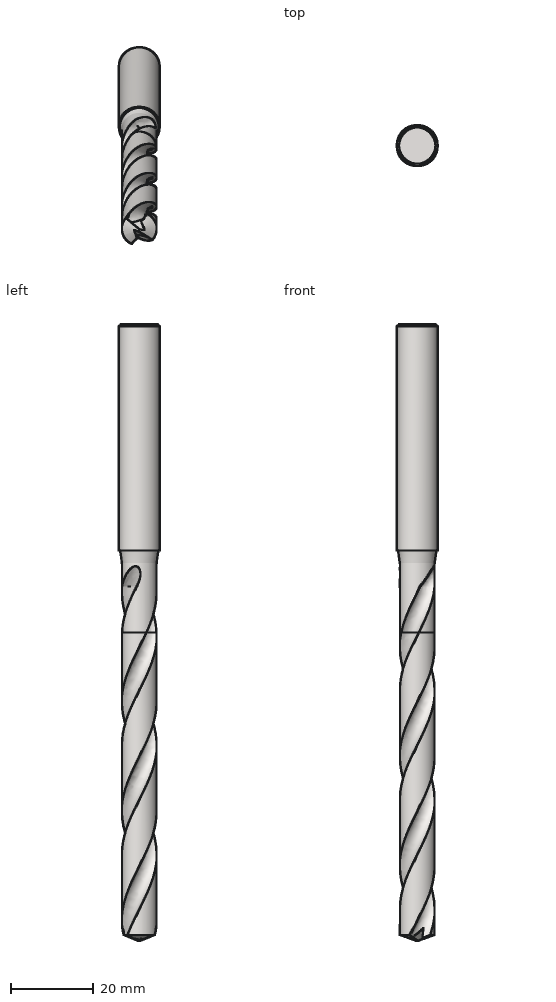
import cadquery as cq
import math

TOTAL_LENGTH = 150.0
SHANK_LENGTH = 55.0
NECK_CONE_LENGTH = 3.2
JOINT_HEIGHT = 75.0
FLUTE_END_HEIGHT = 86.2

SHANK_DIAMETER = 10.0
DRILL_DIAMETER = 8.5
NECK_CONE_TOP_DIAMETER = 9.4
SHANK_CHAMFER = 0.6

BLANK_ALLOWANCE = 1.3

POINT_ANGLE = 140.0

FLUTE_COUNT = 2
FLUTE_PITCH = 53.2
FLUTE_RADIUS = 2.7
FLUTE_AXIS_RADIUS = 4.55
FLUTE_START_ANGLE = -88.0

RUNOUT_LENGTH = 12.0
RUNOUT_CLIMB_ANGLE = 15.0
RUNOUT_LEAN_ANGLE = 37.0

GASH_ROOT_BOTTOM = (1.2, 0.6, 0.4)
GASH_ROOT_TOP = (1.6, -1.8, 3.7)
GASH_OPENING_ANGLE = 46.0

shank_radius = SHANK_DIAMETER / 2
drill_radius = DRILL_DIAMETER / 2
neck_cone_top_radius = NECK_CONE_TOP_DIAMETER / 2
shank_bottom = TOTAL_LENGTH - SHANK_LENGTH
neck_cone_bottom = shank_bottom - NECK_CONE_LENGTH
point_height = drill_radius / math.tan(math.radians(POINT_ANGLE / 2))
blank_radius = drill_radius + BLANK_ALLOWANCE
flute_spacing = 360 / FLUTE_COUNT

flute_half_angle = math.degrees(
    math.acos(
        (blank_radius**2 + FLUTE_AXIS_RADIUS**2 - FLUTE_RADIUS**2) / (2 * blank_radius * FLUTE_AXIS_RADIUS)
    )
)


def polar(radius, angle):
    return (radius * math.cos(math.radians(angle)), radius * math.sin(math.radians(angle)))


def flute_angle(height):
    """Direction from the axis to the middle of the first flute at a height."""
    return FLUTE_START_ANGLE + 360 * height / FLUTE_PITCH


def revolve_about_axis(outline):
    """Revolve a closed (radius, height) outline about Z."""
    return cq.Workplane("XZ").polyline(outline).close().revolve(360, (0, 0, 0), (0, 1, 0))


def fluted_blank(bottom, top):
    """Twisted oversize blank with round flutes; its lands are trimmed later to the drill diameter."""
    first_flute = flute_angle(bottom)
    section = cq.Workplane("XY").workplane(offset=bottom)
    section = section.moveTo(*polar(blank_radius, first_flute - flute_half_angle))
    for flute in range(FLUTE_COUNT):
        middle = first_flute + flute * flute_spacing
        next_middle = middle + flute_spacing
        section = section.threePointArc(
            polar(FLUTE_AXIS_RADIUS - FLUTE_RADIUS, middle),
            polar(blank_radius, middle + flute_half_angle),
        )
        section = section.threePointArc(
            polar(blank_radius, middle + flute_spacing / 2),
            polar(blank_radius, next_middle - flute_half_angle),
        )
    return section.close().twistExtrude(top - bottom, flute_angle(top) - flute_angle(bottom))


def runout_cutter(flute):
    """Straight run-out that carries on along a flute and climbs out of the drill."""
    angle = flute_angle(FLUTE_END_HEIGHT) + flute * flute_spacing
    around = RUNOUT_LENGTH * math.tan(math.radians(RUNOUT_LEAN_ANGLE))
    outward = RUNOUT_LENGTH * math.tan(math.radians(RUNOUT_CLIMB_ANGLE))
    centre = cq.Vector(FLUTE_AXIS_RADIUS, 0, FLUTE_END_HEIGHT)
    mouth = cq.Face.makeFromWires(cq.Wire.makeCircle(FLUTE_RADIUS, centre, cq.Vector(0, 0, 1)))
    runout = cq.Solid.extrudeLinear(mouth, cq.Vector(outward, around, RUNOUT_LENGTH))
    return cq.Workplane(runout).rotate((0, 0, 0), (0, 0, 1), angle)


def gash_cutter(flute):
    """V-shaped prism along the gash root, run past both ends and open towards the outside."""
    root_bottom = cq.Vector(*GASH_ROOT_BOTTOM)
    root = cq.Vector(*GASH_ROOT_TOP) - root_bottom
    start = root_bottom - root
    end = root_bottom + root * 2
    across_root = cq.Plane(start, cq.Vector(0, -1, 0), root)
    reach = SHANK_DIAMETER
    spread = reach * math.tan(math.radians(GASH_OPENING_ANGLE))
    wedge = cq.Workplane(across_root).polyline([(0, 0), (reach, 0), (reach, -spread)]).close()
    wedge = wedge.extrude((end - start).Length)
    return wedge.rotate((0, 0, 0), (0, 0, 1), flute * flute_spacing)


def make_drill_head():
    head = revolve_about_axis(
        [
            (0, 0),
            (drill_radius, point_height),
            (drill_radius, JOINT_HEIGHT),
            (0, JOINT_HEIGHT),
        ]
    )
    head = head.intersect(fluted_blank(0, JOINT_HEIGHT))
    for flute in range(FLUTE_COUNT):
        head = head.cut(gash_cutter(flute))
    return head


def make_shank():
    shank = revolve_about_axis(
        [
            (0, JOINT_HEIGHT),
            (drill_radius, JOINT_HEIGHT),
            (drill_radius, neck_cone_bottom),
            (neck_cone_top_radius, shank_bottom),
            (shank_radius, shank_bottom),
            (shank_radius, TOTAL_LENGTH - SHANK_CHAMFER),
            (shank_radius - SHANK_CHAMFER, TOTAL_LENGTH),
            (0, TOTAL_LENGTH),
        ]
    )
    blank = cq.Workplane("XY").workplane(offset=FLUTE_END_HEIGHT).circle(blank_radius)
    blank = blank.extrude(TOTAL_LENGTH - FLUTE_END_HEIGHT)
    for flute in range(FLUTE_COUNT):
        blank = blank.cut(runout_cutter(flute))
    blank = blank.union(fluted_blank(JOINT_HEIGHT, FLUTE_END_HEIGHT))
    return shank.intersect(blank)


drill_head = make_drill_head()
shank = make_shank()

result = cq.Compound.makeCompound([drill_head.solids().val(), shank.solids().val()])